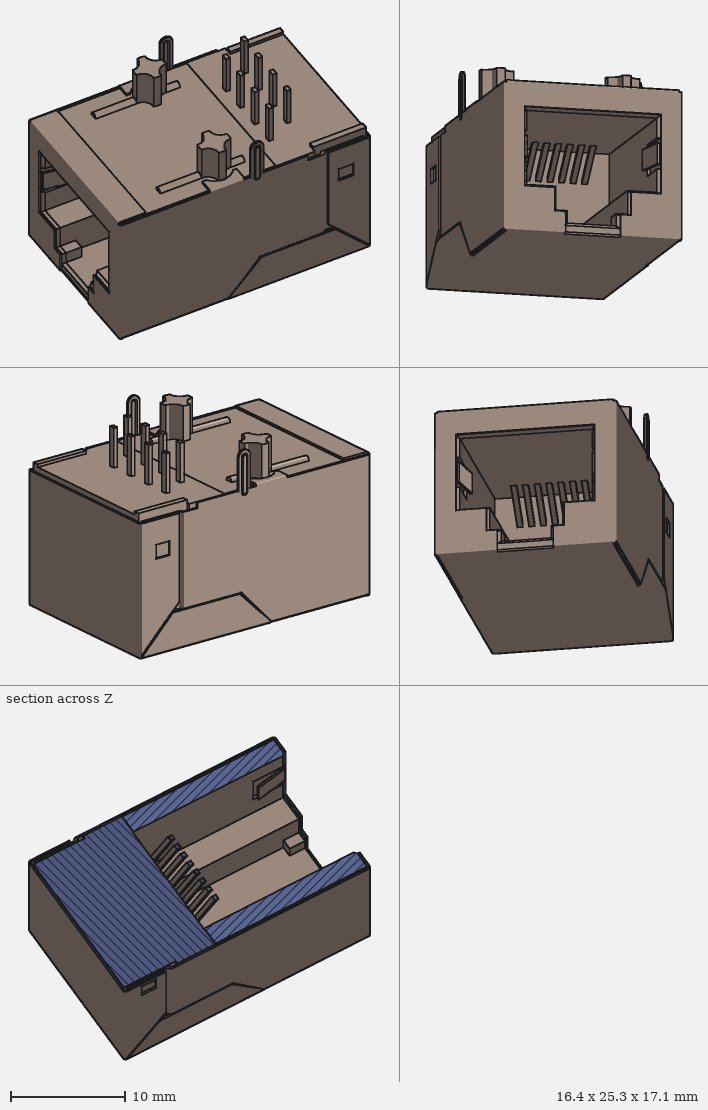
import cadquery as cq
import math


LENGTH = 25.3
SHELL_HALF = 8.12
SHEET = 0.2
BEND = 0.25
TOP = 13.3
SHELL_TOP = TOP + SHEET
PIN_TOP = 17.05
INNER_HALF = SHELL_HALF - SHEET
REAR_INSIDE = LENGTH - SHEET

HOUSING_HALF = 7.85
SPLIT_Y = 15.85
SEAT_TOP = 3.15

PLUG_HALF = 5.92
PLUG_TOP = 10.93
PLUG_FLOOR = 4.3
CHANNEL_HALF = 3.26
STOP_TOP = 2.18
STOP_REAR = 2.05
NOTCH_HALF = 2.23
CHANNEL_FLOOR = 1.05
MOUTH_BEVEL = 0.28

MOUTH_HALF = PLUG_HALF + MOUTH_BEVEL
MOUTH_TOP = PLUG_TOP + MOUTH_BEVEL
MOUTH_FLOOR = 4.1
MOUTH_STEP_HALF = 3.47
MOUTH_STEP = 2.02
MOUTH_NOTCH_HALF = NOTCH_HALF + MOUTH_BEVEL

SPRING_BOTTOM = 6.8
SPRING_TOP = 8.68
SPRING_END_X = 5.4
SPRING_END_Y = 3.3
SPRING_SLOT_BOTTOM = 6.38
SPRING_SLOT_TOP = 9.15
SPRING_SLOT_END = 3.55

STRIP_DEPTH = 2.78
REAR_TOP = 12.78
LOW_EDGE_Y = 18.98
JOG_START = 20.37
JOG_R = 0.38
FLAP_START = 21.02
JOG_END = 24.8
FLAP_CLEARANCE = 0.08
FOOT_TOP = 3.6
FOOT_FRONT = 10.95
GAP = 0.1
WINDOW_Y = (22.04, 23.55)
WINDOW_Z = (9.08, 10.42)
TAB_Y = (9.1, 12.55)
TAB_INNER = 6.7
TAB_HOLE_R = 1.67

LEG_Y = 13.85
LEG_WIDTH = 1.26
BEAD_WIDTH = 0.65
BEAD_CREST = 0.38
BEAD_HEIGHT = 0.08
BEAD_TOP = 16.7

POST_X = 5.72
POST_Y = 10.85
POST_R = 1.52
POST_TOP = 16.62
LOBE_HALF = 0.38
FLUTE_R = 1.0
RIB_R = 0.38
RIB_Y = (5.24, 13.75)

PIN_COUNT = 8
PIN_PITCH = 1.26
PIN_SIZE = (0.6, 0.4)
PIN_ROWS = (19.68, 17.15)
CONTACT_SPAN = 7.35
CONTACT_WIDTH = 0.5
CONTACT_LOW = 8.12
CONTACT_BEND = 10.65
CONTACT_TIP_Y = 12.88
CONTACT_DEPTH = 0.35
RIDGE_X = (7.0, 7.62)
RIDGE_START = 19.75
RIDGE_TOP = 13.59


def box(x, y, z):
    """Block between the given (low, high) limits on each axis."""
    return (
        cq.Workplane("XY")
        .box(x[1] - x[0], y[1] - y[0], z[1] - z[0], centered=False)
        .translate((x[0], y[0], z[0]))
    )


def wide_box(half, y, z):
    """Block centred on X = 0."""
    return box((-half, half), y, z)


def front_prism(points, y):
    """Prism along Y with its outline given as (x, z) points."""
    return cq.Workplane("XZ", origin=(0, y[0], 0)).polyline(points).close().extrude(y[0] - y[1])


def side_prism(points, x):
    """Prism along X with its outline given as (y, z) points."""
    return cq.Workplane("YZ", origin=(x[0], 0, 0)).polyline(points).close().extrude(x[1] - x[0])


def both_sides(shape):
    """The shape together with its mirror image across X = 0."""
    return shape.union(shape.mirror("YZ"))


def mirrored_outline(right_side):
    """Closed outline from its +X half, listed from top to bottom."""
    return right_side + [(-x, z) for x, z in reversed(right_side)]


def mouth_outline(margin):
    """Outline of the plug opening, grown outward by a margin."""
    return mirrored_outline([
        (PLUG_HALF + margin, PLUG_TOP + margin),
        (PLUG_HALF + margin, PLUG_FLOOR - margin),
        (CHANNEL_HALF + margin, PLUG_FLOOR - margin),
        (CHANNEL_HALF + margin, STOP_TOP - margin),
        (NOTCH_HALF + margin, STOP_TOP - margin),
        (NOTCH_HALF + margin, CHANNEL_FLOOR - margin),
    ])


def plug_cavity():
    inner_y = SHEET + MOUTH_BEVEL
    bevel = (
        cq.Workplane("XZ", origin=(0, SHEET, 0))
        .polyline(mouth_outline(MOUTH_BEVEL)).close()
        .workplane(offset=-MOUTH_BEVEL)
        .polyline(mouth_outline(0)).close()
        .loft(ruled=True)
    )
    entry = front_prism(mouth_outline(0), (inner_y, SPLIT_Y))
    channel = wide_box(CHANNEL_HALF, (STOP_REAR, SPLIT_Y), (CHANNEL_FLOOR, PLUG_FLOOR))
    return bevel.union(entry).union(channel)


def spring_slots():
    return wide_box(MOUTH_HALF, (SHEET, SPRING_SLOT_END), (SPRING_SLOT_BOTTOM, SPRING_SLOT_TOP))


def fluted_post():
    """Four-lobed locating post at -X."""
    flute_offset = LOBE_HALF + FLUTE_R
    flutes = (
        cq.Workplane("XY")
        .rect(2 * flute_offset, 2 * flute_offset, forConstruction=True).vertices()
        .circle(FLUTE_R).extrude(POST_TOP - TOP)
    )
    post = cq.Workplane("XY").circle(POST_R).extrude(POST_TOP - TOP).cut(flutes)
    return post.translate((-POST_X, POST_Y, TOP))


def crush_rib():
    """Half-round rib that runs under the post at -X."""
    rod = (
        cq.Workplane("XZ", origin=(-POST_X, RIB_Y[0], TOP))
        .circle(RIB_R).extrude(RIB_Y[0] - RIB_Y[1])
    )
    return rod.intersect(wide_box(SHELL_HALF, RIB_Y, (TOP, TOP + RIB_R)))


def make_housing():
    body = wide_box(HOUSING_HALF, (SHEET, SPLIT_Y), (SHEET, TOP))
    seat = wide_box(HOUSING_HALF, (SPLIT_Y, REAR_INSIDE), (SHEET, SEAT_TOP))
    body = body.union(seat).cut(plug_cavity()).cut(spring_slots())
    return body.union(both_sides(fluted_post())).union(both_sides(crush_rib()))


def contact(x):
    """Spring contact that slopes from the cavity's rear wall up to its ceiling."""
    rise = CONTACT_BEND - CONTACT_LOW
    outline = [
        (SPLIT_Y, CONTACT_LOW),
        (SPLIT_Y - rise, CONTACT_BEND),
        (CONTACT_TIP_Y, PLUG_TOP),
        (SPLIT_Y - (PLUG_TOP - CONTACT_LOW) + CONTACT_DEPTH, PLUG_TOP),
        (SPLIT_Y, CONTACT_LOW + CONTACT_DEPTH),
    ]
    return side_prism(outline, (x - CONTACT_WIDTH / 2, x + CONTACT_WIDTH / 2))


def solder_pin(x, y):
    return (
        cq.Workplane("XY", origin=(x, y, TOP))
        .rect(*PIN_SIZE).extrude(PIN_TOP - TOP)
    )


def make_carrier():
    body = wide_box(INNER_HALF, (SPLIT_Y, RIDGE_START), (SEAT_TOP, TOP))
    tail = wide_box(RIDGE_X[1], (RIDGE_START, REAR_INSIDE), (SEAT_TOP, TOP))
    ridge = box(RIDGE_X, (RIDGE_START, REAR_INSIDE), (TOP, RIDGE_TOP))
    body = body.union(tail).union(both_sides(ridge))
    for index in range(PIN_COUNT):
        place = index - (PIN_COUNT - 1) / 2
        body = body.union(solder_pin(place * PIN_PITCH, PIN_ROWS[index % 2]))
        body = body.union(contact(place * CONTACT_SPAN / (PIN_COUNT - 1)))
    return body


def shell():
    """Bent-sheet box with its folded top strip and the two folded top tabs."""
    outside = wide_box(SHELL_HALF, (0, LENGTH), (0, SHELL_TOP)).edges().fillet(BEND)
    inside = wide_box(INNER_HALF, (SHEET, REAR_INSIDE), (SHEET, TOP))
    strip = wide_box(HOUSING_HALF, (0, STRIP_DEPTH), (TOP, SHELL_TOP))
    tab = box((-SHELL_HALF, -TAB_INNER), TAB_Y, (TOP, SHELL_TOP))
    hole = (
        cq.Workplane("XY", origin=(-POST_X, POST_Y, TOP))
        .circle(TAB_HOLE_R).extrude(SHEET)
    )
    kept = (
        wide_box(SHELL_HALF, (0, LOW_EDGE_Y), (0, TOP))
        .union(wide_box(SHELL_HALF, (LOW_EDGE_Y, LENGTH), (0, REAR_TOP)))
        .union(strip)
        .union(both_sides(tab.cut(hole)))
    )
    return outside.cut(inside).intersect(kept)


def mouth_cut():
    outline = mirrored_outline([
        (MOUTH_HALF, MOUTH_TOP),
        (MOUTH_HALF, MOUTH_FLOOR),
        (MOUTH_STEP_HALF, MOUTH_FLOOR),
        (MOUTH_STEP_HALF, MOUTH_STEP),
        (MOUTH_NOTCH_HALF, MOUTH_STEP),
        (MOUTH_NOTCH_HALF, 0),
    ])
    return front_prism(outline, (0, SHEET))


def flap_gaps():
    """Cuts through the -X side plate that free the rear flap and the bottom flap."""
    x = (-SHELL_HALF, -INNER_HALF)
    diagonal_gap = GAP * math.sqrt(2)
    foot_front = FOOT_FRONT + FOOT_TOP - BEND
    foot_rear = LENGTH - FOOT_TOP
    flap_corner_z = LENGTH - FLAP_START + diagonal_gap
    around_foot = [
        (FOOT_FRONT, BEND),
        (foot_front, FOOT_TOP),
        (foot_rear, FOOT_TOP),
        (LENGTH - BEND, BEND),
        (LENGTH - BEND, BEND + diagonal_gap),
        (FLAP_START, flap_corner_z),
        (FLAP_START, REAR_TOP),
        (JOG_START, REAR_TOP),
        (JOG_START, FOOT_TOP + GAP),
        (foot_front - GAP, FOOT_TOP + GAP),
    ]
    window = box(x, WINDOW_Y, WINDOW_Z)
    open_seam = box((-SHELL_HALF, -HOUSING_HALF), (BEND, FOOT_FRONT), (0, SHEET))
    return side_prism(around_foot, x).union(window).union(open_seam)


def jogged_plate():
    """Rear end of the -X side plate, stepped inward to pass behind the rear flap."""
    outer = INNER_HALF - FLAP_CLEARANCE
    inner = outer - SHEET
    half_step = (SHELL_HALF - outer) / 2
    half_run = math.sqrt(JOG_R ** 2 - (JOG_R - half_step) ** 2)
    start_inside = JOG_START - SHEET / 2
    return (
        cq.Workplane("XY", origin=(0, 0, FOOT_TOP + GAP))
        .moveTo(-SHELL_HALF, JOG_START)
        .radiusArc((half_step - SHELL_HALF, JOG_START + half_run), JOG_R)
        .radiusArc((-outer, JOG_START + 2 * half_run), -JOG_R)
        .lineTo(-outer, JOG_END)
        .lineTo(-inner, JOG_END)
        .lineTo(-inner, start_inside + 2 * half_step)
        .lineTo(-INNER_HALF, start_inside)
        .lineTo(-SHELL_HALF, start_inside)
        .close()
        .extrude(REAR_TOP - FOOT_TOP - GAP)
    )


def side_spring():
    """Spring at -X, rolled in from the mouth's edge and sloping into the cavity."""
    return (
        cq.Workplane("XY", origin=(0, 0, SPRING_BOTTOM))
        .moveTo(-MOUTH_HALF, 0)
        .radiusArc((-PLUG_HALF, MOUTH_BEVEL), MOUTH_BEVEL)
        .lineTo(-SPRING_END_X, SPRING_END_Y)
        .lineTo(-SPRING_END_X - SHEET, SPRING_END_Y)
        .lineTo(-PLUG_HALF - SHEET, MOUTH_BEVEL)
        .lineTo(-MOUTH_HALF, SHEET)
        .close()
        .extrude(SPRING_TOP - SPRING_BOTTOM)
    )


def upright_slot(x, width, top, bottom):
    """Sketch of a round-ended slot standing in the YZ plane."""
    return (
        cq.Workplane("YZ", origin=(x, LEG_Y, (top + bottom) / 2))
        .slot2D(top - bottom, width, 90)
    )


def ground_leg():
    """Round-topped leg at -X."""
    leg = upright_slot(-SHELL_HALF, LEG_WIDTH, PIN_TOP, REAR_TOP - LEG_WIDTH).extrude(SHEET)
    return leg.intersect(wide_box(SHELL_HALF, (0, LENGTH), (REAR_TOP, PIN_TOP)))


def bead(x):
    """Bead pressed outward from the sheet at -X, tapering from its foot at the given x."""
    taper = math.degrees(math.atan((BEAD_WIDTH - BEAD_CREST) / 2 / BEAD_HEIGHT))
    return upright_slot(x, BEAD_WIDTH, BEAD_TOP, REAR_TOP).extrude(-BEAD_HEIGHT, taper=taper)


def make_shield():
    shield = shell().cut(mouth_cut()).cut(both_sides(flap_gaps()))
    leg = ground_leg().union(bead(-SHELL_HALF))
    for feature in (jogged_plate(), side_spring(), leg):
        shield = shield.union(both_sides(feature))
    return shield.cut(both_sides(bead(-INNER_HALF)))


housing = make_housing()
carrier = make_carrier()
shield = make_shield()

result = cq.Compound.makeCompound([housing.val(), carrier.val(), shield.val()])